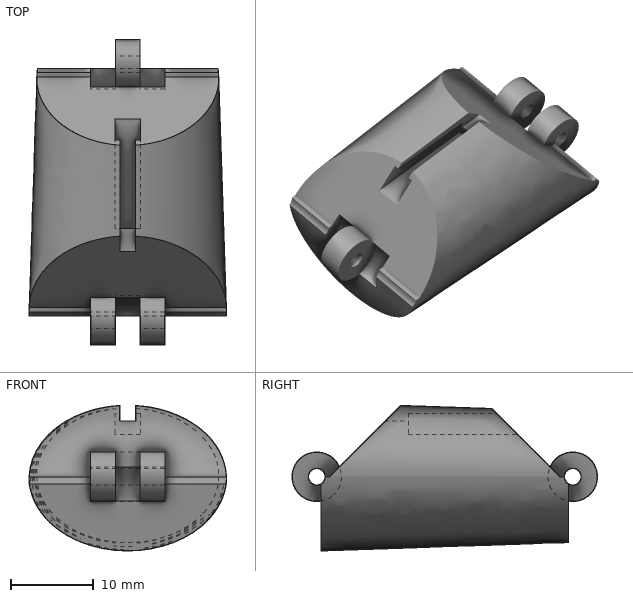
import cadquery as cq

body_length = 30.0
front_half_width = 12.0
front_half_height = 9.0
back_half_width = 11.0
back_half_height = 8.0
ledge_width = 1.05

overall_length = 37.0
axis_y = 15.5
knuckle_radius = overall_length / 2 - axis_y
pin_radius = 1.0
knuckle_width = 3.0

slot_width = 1.92
slot_floor = 6.77
step_y = -4.4
head_width = 3.07
head_floor = 5.1
head_ceiling = 7.65

half_length = body_length / 2
slope_foot = half_length - ledge_width
cut_size = overall_length


def x_cylinder(radius, x_center, y_center, width):
    """Cylinder along X, centred on x_center, with its axis at Z = 0."""
    return (
        cq.Workplane("YZ", origin=(x_center, 0, 0))
        .center(y_center, 0)
        .circle(radius)
        .extrude(width / 2, both=True)
    )


def slot_block(width, floor, height, y_start):
    """Cutting block centred on X that runs from y_start to the back end."""
    return (
        cq.Workplane("XY", origin=(0, (y_start + half_length) / 2, floor))
        .rect(width, half_length - y_start)
        .extrude(height)
    )


def make_body():
    """Tapered elliptical body whose upper half slopes at 45 degrees at both ends."""
    taper = (
        cq.Workplane("XZ", origin=(0, half_length, 0))
        .ellipse(back_half_width, back_half_height)
        .workplane(offset=body_length)
        .ellipse(front_half_width, front_half_height)
        .loft(ruled=True)
    )
    for side in (-1, 1):
        end_cut = (
            cq.Workplane("YZ")
            .moveTo(side * slope_foot, 0)
            .lineTo(side * (slope_foot - cut_size), cut_size)
            .lineTo(side * (slope_foot + cut_size), cut_size)
            .lineTo(side * (slope_foot + cut_size), 0)
            .close()
            .extrude(cut_size, both=True)
        )
        taper = taper.cut(end_cut)
    return taper


def add_hinge(body, y_center, knuckle_positions, gap_positions):
    """Add knuckles, clear room for the mating knuckles and bore the pin groove."""
    for x_center in gap_positions:
        body = body.cut(x_cylinder(knuckle_radius, x_center, y_center, knuckle_width))
    for x_center in knuckle_positions:
        body = body.union(x_cylinder(knuckle_radius, x_center, y_center, knuckle_width))
    return body.cut(x_cylinder(pin_radius, 0, y_center, cut_size))


def cut_slot(body):
    """Cut the through slot and the wide T-slot head beneath it."""
    neck = slot_block(slot_width, slot_floor, front_half_height, -half_length)
    head = slot_block(head_width, head_floor, head_ceiling - head_floor, step_y)
    return body.cut(neck).cut(head)


middle = [0]
outer = [-knuckle_width, knuckle_width]

result = make_body()
result = add_hinge(result, -axis_y, outer, middle)
result = add_hinge(result, axis_y, middle, outer)
result = cut_slot(result)